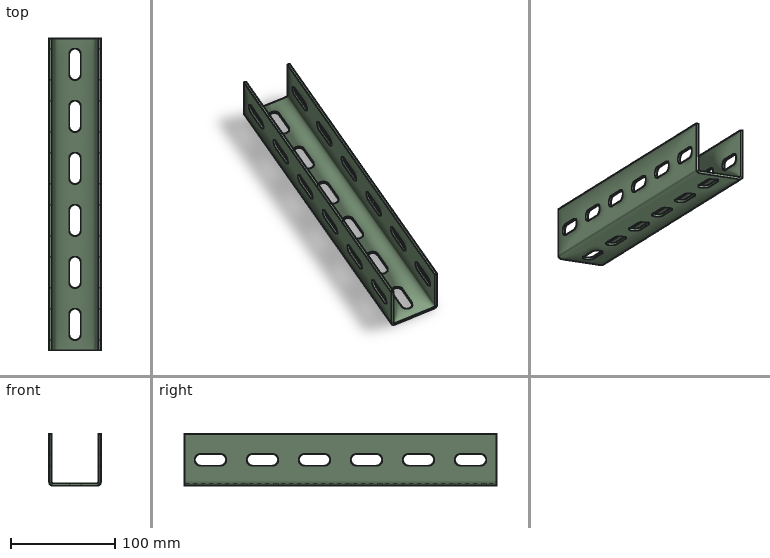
import cadquery as cq

length = 300.0
width = 50.0
height = 50.0
thickness = 2.5
outer_bend_radius = 4.0
inner_bend_radius = outer_bend_radius - thickness

slot_length = 30.0
slot_width = 11.0
slot_pitch = 50.0
slot_count = 6


def rounded_block(block_width, bottom, radius):
    """Block along Y from the given bottom up to the rim, its two lower long edges rounded."""
    block_height = height - bottom
    block = cq.Workplane("XY").box(block_width, length, block_height, centered=(True, True, False))
    return block.translate((0, 0, bottom)).edges("|Y and <Z").fillet(radius)


def make_channel():
    """U-shaped channel, open at the top and at both ends."""
    outside = rounded_block(width, 0, outer_bend_radius)
    inside = rounded_block(width - 2 * thickness, thickness, inner_bend_radius)
    return outside.cut(inside)


def base_slots():
    """Row of slot cutters passing through the base."""
    return (
        cq.Workplane("XY")
        .rarray(1, slot_pitch, 1, slot_count)
        .slot2D(slot_length, slot_width, 90)
        .extrude(thickness)
    )


def side_slots():
    """Row of slot cutters passing through both side walls at mid height."""
    return (
        cq.Workplane("YZ", origin=(0, 0, height / 2))
        .rarray(slot_pitch, 1, slot_count, 1)
        .slot2D(slot_length, slot_width)
        .extrude(width / 2, both=True)
    )


result = make_channel().cut(base_slots()).cut(side_slots())